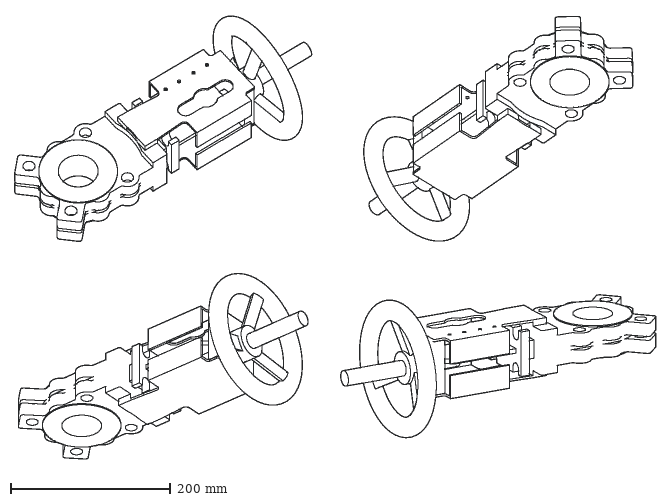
import cadquery as cq
import math


BORE_D = 50.0
RAISED_FACE_D = 99.0
RAISED_FACE_HALF_Z = 21.5
BODY_R = 50.5
BODY_HALF_Z = 20.0
EAR_GAP = 5.0
EAR_BLEND_R = 5.0
BOLT_CIRCLE_D = 125.0
BOLT_HOLE_D = 15.0
EAR_ANGLES = (45, 135)
FOOT_ANGLES = (225, 315)
BOLT_HOLE_DEPTH = 15.0
EAR_R = 14.5
BUMP_REACH = 56.0
FOOT_WIDTH = 32.0
FOOT_REACH = 78.8
FOOT_CORNER_R = 4.0

FLANGE_Y0 = 79.5
FLANGE_Y1 = 102.5
FLANGE_HALF_Z = 29.5
FLANGE_CORNER_R = 2.5
RELIEF_R = 84.0

GLAND_Y0 = 115.0
GLAND_THICKNESS = 12.0
GLAND_HALF_X = 41.7
GLAND_NECK_X = 63.0
GLAND_NECK_Z = 24.0
NOTCH_R = 7.0
NOTCH_X = 28.0
NOTCH_DEPTH = 14.0

GATE_HALF_X = 28.7
GATE_THICKNESS = 6.0
GATE_TOP_Y = 225.3
GATE_CHAMFER = 9.0

YOKE_Z = -0.6
YOKE_HALF_Z = 38.4
SHEET = 3.0
YOKE_HALF_X = 50.5
YOKE_Y0 = 148.5
YOKE_Y1 = 233.7
SIDE_GAP = 15.4
END_BLOCK_Y1 = 249.8
END_BLOCK_HALF_X = 35.6
HEAD_HALF_X = 36.3
YOKE_OUTER_R = 1.2
YOKE_INNER_R = 4.0
TONGUE_Y0 = 83.2
TONGUE_HALF_X = 28.7
TONGUE_WAIST_HALF_X = 26.0
TONGUE_FILLET_R = 6.0
LIP_OPENING_X = 20.0
WINDOW_X = 12.5
WINDOW_Y = 190.0
WINDOW_WIDTH = 20.0
WINDOW_LENGTH = 82.0
WINDOW_EYE_D = 30.0
PIN_HOLE_D = 4.0
PIN_HOLE_X = -28.2
PIN_HOLE_Y = (158.0, 178.8, 201.6, 222.6)

STEM_Z = -6.2
STEM_D = 20.0
STEM_Y0 = 197.0
OVERALL_LENGTH = 423.74
WHEEL_D = 175.0
WHEEL_Y = 281.3
RIM_HEIGHT = 20.4
RIM_WIDTH = 26.0
HUB_D = 42.0
HUB_GROOVE_Y = 252.0
HUB_Y1 = 275.0
HUB_GROOVE_D = 34.0
HUB_GROOVE_WIDTH = 1.0
SPOKE_WIDTH = 20.0
SPOKE_HEIGHT = 8.0
SPOKE_HUB_Y = 262.0
SPOKE_SLOPE_DEG = 21.0
SPOKE_ANGLES = (90, 210, 330)


def block(x0, x1, y0, y1, z0, z1):
    """Box given by its limits."""
    return cq.Workplane("XY").box(x1 - x0, y1 - y0, z1 - z0, centered=False).translate((x0, y0, z0))


def mirrored_z(shape):
    """The shape together with its mirror image in the XY plane."""
    return shape.union(shape.mirror("XY"))


def on_bolt_circle(angle_deg):
    angle = math.radians(angle_deg)
    return BOLT_CIRCLE_D / 2 * math.cos(angle), BOLT_CIRCLE_D / 2 * math.sin(angle)


UPPER_BOLTS = [on_bolt_circle(angle) for angle in EAR_ANGLES]
LOWER_BOLTS = [on_bolt_circle(angle) for angle in FOOT_ANGLES]


def body_core(z0, height):
    """Round bottom running straight up into the flange."""
    return (
        cq.Workplane("XY", origin=(0, 0, z0))
        .moveTo(BODY_R, 0)
        .lineTo(BODY_R, FLANGE_Y1 - FLANGE_CORNER_R)
        .lineTo(-BODY_R, FLANGE_Y1 - FLANGE_CORNER_R)
        .lineTo(-BODY_R, 0)
        .threePointArc((0, -BODY_R), (BODY_R, 0))
        .close()
        .extrude(height)
    )


def foot(angle_deg, z0, height):
    """Square foot pointing outwards, with rounded outer corners."""
    return (
        cq.Workplane("XY", origin=(0, 0, z0))
        .rect(FOOT_REACH, FOOT_WIDTH)
        .extrude(height)
        .translate((FOOT_REACH / 2, 0, 0))
        .edges("|Z and >X")
        .fillet(FOOT_CORNER_R)
        .rotate((0, 0, 0), (0, 0, 1), angle_deg)
    )


def eared_half():
    """Upper half of the body with ears, bumps and feet, blended into the core."""
    z0 = EAR_GAP / 2
    height = BODY_HALF_Z - z0
    plane = cq.Workplane("XY", origin=(0, 0, z0))
    bump_center = BUMP_REACH - EAR_R
    half = body_core(z0, height)
    half = half.union(plane.pushPoints(UPPER_BOLTS).circle(EAR_R).extrude(height))
    bumps = [(-bump_center, 0), (bump_center, 0), (0, -bump_center)]
    half = half.union(plane.pushPoints(bumps).circle(EAR_R).extrude(height))
    for angle in FOOT_ANGLES:
        half = half.union(foot(angle, z0, height))
    outline = half.faces("<Z").wires().toPending()
    outline = outline.offset2D(EAR_BLEND_R).offset2D(-EAR_BLEND_R)
    return outline.extrude(height)


def flange():
    solid = block(-BODY_R, BODY_R, FLANGE_Y0, FLANGE_Y1, -FLANGE_HALF_Z, FLANGE_HALF_Z)
    return solid.edges("|Z and >Y").fillet(FLANGE_CORNER_R)


def relief():
    """Round clearance around the raised face, cut above the body faces."""
    depth = YOKE_HALF_Z - BODY_HALF_Z
    return mirrored_z(cq.Workplane("XY", origin=(0, 0, BODY_HALF_Z)).circle(RELIEF_R).extrude(depth))


def body():
    solid = body_core(-BODY_HALF_Z, 2 * BODY_HALF_Z)
    solid = solid.union(mirrored_z(eared_half()))
    solid = solid.union(flange().cut(relief()))
    raised_back = cq.Workplane("XY", origin=(0, 0, -RAISED_FACE_HALF_Z))
    solid = solid.union(raised_back.circle(RAISED_FACE_D / 2).extrude(2 * RAISED_FACE_HALF_Z))
    solid = solid.cut(raised_back.circle(BORE_D / 2).extrude(2 * RAISED_FACE_HALF_Z))
    through = cq.Workplane("XY", origin=(0, 0, -BODY_HALF_Z)).pushPoints(LOWER_BOLTS).circle(BOLT_HOLE_D / 2)
    blind = cq.Workplane("XY", origin=(0, 0, BODY_HALF_Z)).pushPoints(UPPER_BOLTS).circle(BOLT_HOLE_D / 2)
    solid = solid.cut(through.extrude(2 * BODY_HALF_Z))
    return solid.cut(mirrored_z(blind.extrude(-BOLT_HOLE_DEPTH)))


def gland():
    """Follower plate with open bolt notches on a rectangular neck."""
    y1 = GLAND_Y0 + GLAND_THICKNESS
    plate = block(-GLAND_HALF_X, GLAND_HALF_X, GLAND_Y0, y1, -FLANGE_HALF_Z, FLANGE_HALF_Z)
    for side in (-1, 1):
        x = side * NOTCH_X
        floor_z = FLANGE_HALF_Z - NOTCH_DEPTH + NOTCH_R
        notch = cq.Workplane("XZ", origin=(x, y1, floor_z)).circle(NOTCH_R).extrude(GLAND_THICKNESS)
        notch = notch.union(block(x - NOTCH_R, x + NOTCH_R, GLAND_Y0, y1, floor_z, FLANGE_HALF_Z))
        plate = plate.cut(mirrored_z(notch))
    neck = cq.Workplane("XZ", origin=(0, GLAND_Y0, 0)).rect(GLAND_NECK_X, GLAND_NECK_Z)
    return plate.union(neck.extrude(GLAND_Y0 - FLANGE_Y1))


def gate():
    face_z = STEM_Z + STEM_D / 2
    plate = block(-GATE_HALF_X, GATE_HALF_X, FLANGE_Y1, GATE_TOP_Y, face_z - GATE_THICKNESS, face_z)
    return plate.edges("|Z and >Y").chamfer(GATE_CHAMFER)


def tongue(z0):
    """Flat strip from the yoke plate down to the flange, with rounded roots."""
    waist_x = TONGUE_WAIST_HALF_X
    root_x = waist_x + TONGUE_FILLET_R
    root_y = YOKE_Y0 - TONGUE_FILLET_R
    arc_rise = TONGUE_FILLET_R * (1 - math.sqrt(0.5))
    arc_mid_x = waist_x + arc_rise
    arc_mid_y = YOKE_Y0 - arc_rise
    return (
        cq.Workplane("XY", origin=(0, 0, z0))
        .moveTo(-TONGUE_HALF_X, TONGUE_Y0)
        .lineTo(TONGUE_HALF_X, TONGUE_Y0)
        .lineTo(TONGUE_HALF_X, FLANGE_Y1)
        .lineTo(waist_x, root_y)
        .threePointArc((arc_mid_x, arc_mid_y), (root_x, YOKE_Y0))
        .lineTo(-root_x, YOKE_Y0)
        .threePointArc((-arc_mid_x, arc_mid_y), (-waist_x, root_y))
        .lineTo(-TONGUE_HALF_X, FLANGE_Y1)
        .close()
        .extrude(SHEET)
    )


def yoke_plate():
    """Upper yoke plate: sheet with two side walls, a tongue and the lip on the flange."""
    z0 = YOKE_HALF_Z - SHEET
    sheet = block(-YOKE_HALF_X, YOKE_HALF_X, YOKE_Y0, YOKE_Y1, z0, YOKE_HALF_Z)
    sheet = sheet.union(tongue(z0))
    head = block(-HEAD_HALF_X, HEAD_HALF_X, YOKE_Y0, END_BLOCK_Y1, z0, YOKE_HALF_Z)
    sheet = sheet.union(head.edges("|Z and >Y").fillet(YOKE_OUTER_R))
    for side in (-1, 1):
        x = side * HEAD_HALF_X
        corner = block(x - YOKE_INNER_R, x + YOKE_INNER_R, YOKE_Y1, YOKE_Y1 + YOKE_INNER_R, z0, YOKE_HALF_Z)
        round_off = cq.Workplane("XY", origin=(x + side * YOKE_INNER_R, YOKE_Y1 + YOKE_INNER_R, z0))
        sheet = sheet.union(corner.cut(round_off.circle(YOKE_INNER_R).extrude(SHEET)))
        x_in, x_out = sorted((side * YOKE_HALF_X, side * (YOKE_HALF_X - SHEET)))
        sheet = sheet.union(block(x_in, x_out, YOKE_Y0, YOKE_Y1, SIDE_GAP / 2, YOKE_HALF_Z))
    lip_z0 = FLANGE_HALF_Z - abs(YOKE_Z)
    lip = block(-TONGUE_HALF_X, TONGUE_HALF_X, TONGUE_Y0, FLANGE_Y1, lip_z0, YOKE_HALF_Z)
    opening = block(-LIP_OPENING_X / 2, LIP_OPENING_X / 2, TONGUE_Y0, FLANGE_Y1, lip_z0, z0)
    return sheet.union(lip.cut(opening)).cut(relief())


def yoke_openings():
    """Inspection window and pin holes through one yoke plate."""
    plane = cq.Workplane("XY", origin=(0, 0, YOKE_HALF_Z - SHEET))
    window = plane.center(WINDOW_X, WINDOW_Y).slot2D(WINDOW_LENGTH, WINDOW_WIDTH, 90).extrude(SHEET)
    eye = plane.center(WINDOW_X, WINDOW_Y).circle(WINDOW_EYE_D / 2).extrude(SHEET)
    pins = plane.pushPoints([(PIN_HOLE_X, y) for y in PIN_HOLE_Y]).circle(PIN_HOLE_D / 2).extrude(SHEET)
    return window.union(eye).union(pins)


def yoke():
    plate = yoke_plate()
    upper = plate.cut(yoke_openings())
    lower = plate.mirror("XY")
    inner_z = YOKE_HALF_Z - SHEET
    end = block(-END_BLOCK_HALF_X, END_BLOCK_HALF_X, YOKE_Y1, END_BLOCK_Y1, -inner_z, inner_z)
    end = end.edges("|Z and >Y").fillet(YOKE_OUTER_R)
    return upper.union(lower).union(end).translate((0, 0, YOKE_Z))


def shaft(diameter, y0, y1):
    """Cylinder on the stem axis."""
    return cq.Workplane("XZ", origin=(0, y0, STEM_Z)).circle(diameter / 2).extrude(y0 - y1)


def spoke(angle_deg):
    """Flat-backed spoke with a rounded front, rising from the hub towards the rim."""
    inner_r = HUB_D / 2
    mid_r = (WHEEL_D - RIM_WIDTH) / 2
    slope = math.radians(SPOKE_SLOPE_DEG)
    back_y = SPOKE_HUB_Y + SPOKE_HEIGHT / math.cos(slope)
    length = (mid_r - STEM_D / 2) / math.cos(slope)
    start_y = back_y - (inner_r - STEM_D / 2) * math.tan(slope)
    half_flat = SPOKE_WIDTH / 2 - SPOKE_HEIGHT
    bar = (
        cq.Workplane("XY")
        .moveTo(half_flat, -SPOKE_HEIGHT)
        .radiusArc((SPOKE_WIDTH / 2, 0), -SPOKE_HEIGHT)
        .lineTo(-SPOKE_WIDTH / 2, 0)
        .radiusArc((-half_flat, -SPOKE_HEIGHT), -SPOKE_HEIGHT)
        .close()
        .extrude(length)
        .rotate((0, 0, 0), (1, 0, 0), -SPOKE_SLOPE_DEG)
        .translate((0, start_y, STEM_D / 2))
    )
    return bar.rotate((0, 0, 0), (0, 1, 0), angle_deg - 90).translate((0, 0, STEM_Z))


def handwheel():
    rim_center = (WHEEL_D - RIM_WIDTH) / 2
    rim = (
        cq.Workplane("XY")
        .center(rim_center, WHEEL_Y)
        .slot2D(RIM_WIDTH, RIM_HEIGHT)
        .revolve(360, (-rim_center, 0, 0), (-rim_center, 1, 0))
        .translate((0, 0, STEM_Z))
    )
    groove_y1 = HUB_GROOVE_Y + HUB_GROOVE_WIDTH
    wheel = rim.union(shaft(HUB_D, END_BLOCK_Y1, HUB_GROOVE_Y))
    wheel = wheel.union(shaft(HUB_GROOVE_D, HUB_GROOVE_Y, groove_y1))
    wheel = wheel.union(shaft(HUB_D, groove_y1, HUB_Y1))
    for angle in SPOKE_ANGLES:
        wheel = wheel.union(spoke(angle))
    return wheel


foot_tip_y = -((FOOT_REACH + FOOT_WIDTH / 2 - 2 * FOOT_CORNER_R) * math.sqrt(0.5) + FOOT_CORNER_R)
stem = shaft(STEM_D, STEM_Y0, foot_tip_y + OVERALL_LENGTH)

result = body().union(gland()).union(gate()).union(yoke()).union(stem).union(handwheel())